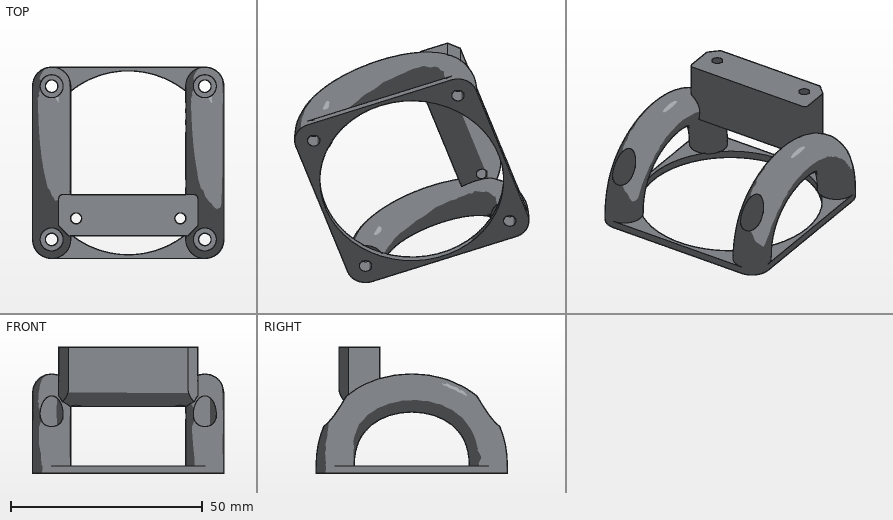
import cadquery as cq

plate_size = 50.0
plate_thickness = 2.0
corner_radius = 5.0
window_diameter = 48.0

tube_radius = corner_radius
post_offset = plate_size / 2 - tube_radius
arch_top = 26.0
shoulder_pole = 22.0

screw_diameter = 3.2
screw_head_diameter = 6.0
screw_seat_height = 5.0

bar_length = 36.3
bar_front = -19.05
bar_back = -8.3
bar_top = 32.95
bar_bottom = 17.45
bar_front_chamfer = 2.6
bar_back_round = 1.0
bar_lower_round = 5.0
bar_hole_diameter = 2.8
bar_hole_spacing = 27.2
bar_hole_y = -14.5

post_centres = [
    (x_side * post_offset, y_side * post_offset)
    for x_side in (-1, 1)
    for y_side in (-1, 1)
]


def make_plate():
    """Square plate with rounded corners and a large round window."""
    plate = cq.Workplane("XY").box(
        plate_size, plate_size, plate_thickness, centered=(True, True, False)
    )
    plate = plate.edges("|Z").fillet(corner_radius)
    return plate.faces(">Z").workplane().hole(window_diameter)


def make_arch(x):
    """Round tube following a smooth arch that rises vertically from both feet."""
    crown_height = arch_top - tube_radius
    crown_pole = (8 * crown_height - plate_thickness - 4 * shoulder_pole) / 3
    path = cq.Workplane("YZ", origin=(x, 0, 0)).bezier(
        [
            (-post_offset, plate_thickness),
            (-post_offset, shoulder_pole),
            (0, crown_pole),
            (post_offset, shoulder_pole),
            (post_offset, plate_thickness),
        ]
    )
    foot = cq.Workplane("XY", origin=(x, -post_offset, plate_thickness)).circle(tube_radius)
    return foot.sweep(path, isFrenet=True)


def make_bar():
    """Upright bar with chamfered front corners and a rounded lower front edge."""
    bar_depth = bar_back - bar_front
    bar = cq.Workplane("XY").box(
        bar_length, bar_depth, bar_top - bar_bottom, centered=(True, False, False)
    )
    bar = bar.translate((0, bar_front, bar_bottom))
    bar = bar.edges("<Y and <Z").fillet(bar_lower_round)
    half_length = bar_length / 2
    for side in (-1, 1):
        corner = (
            cq.Workplane("XY", origin=(0, 0, bar_bottom))
            .moveTo(side * half_length, bar_front)
            .lineTo(side * (half_length - bar_front_chamfer), bar_front)
            .lineTo(side * half_length, bar_front + bar_front_chamfer)
            .close()
            .extrude(bar_top - bar_bottom)
        )
        bar = bar.cut(corner)
    return bar.edges("|Z and >Y").fillet(bar_back_round)


def make_cylinders(centres, diameter, bottom):
    """Vertical cutters reaching from the given height to the top of the part."""
    cutters = cq.Workplane("XY", origin=(0, 0, bottom)).pushPoints(centres)
    return cutters.circle(diameter / 2).extrude(bar_top - bottom)


bar_hole_centres = [(side * bar_hole_spacing / 2, bar_hole_y) for side in (-1, 1)]

result = make_plate()
for side in (-1, 1):
    result = result.union(make_arch(side * post_offset))
result = result.union(make_bar())
result = result.cut(make_cylinders(post_centres, screw_diameter, 0))
result = result.cut(make_cylinders(post_centres, screw_head_diameter, screw_seat_height))
result = result.cut(make_cylinders(bar_hole_centres, bar_hole_diameter, bar_bottom))